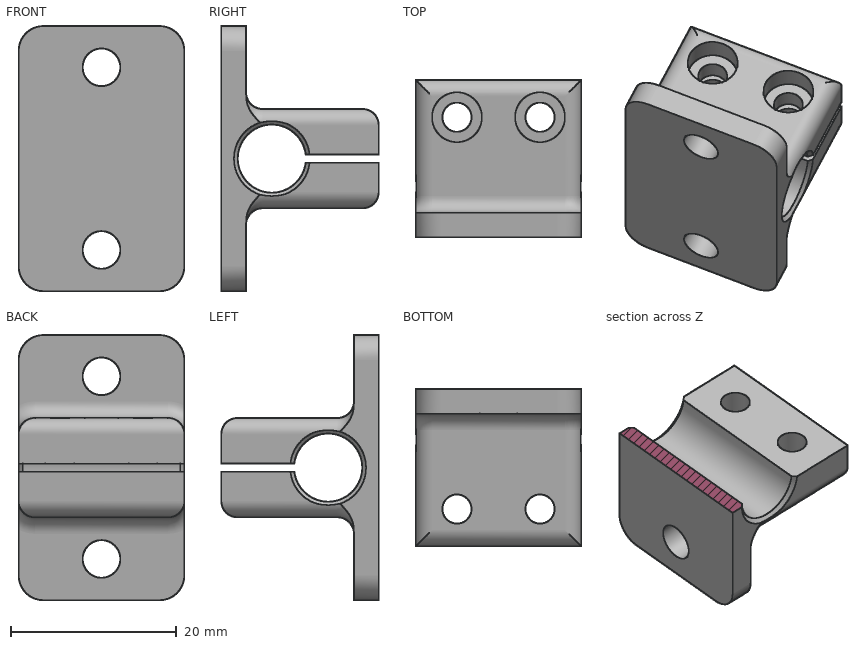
import cadquery as cq

width = 20.0
plate_height = 32.0
plate_thickness = 3.0
plate_corner_radius = 3.0
plate_hole_diameter = 4.5
plate_hole_spacing = 22.0

total_depth = 19.0
block_height = 12.0
edge_radius = 2.0
root_radius = 2.0

bore_diameter = 8.2
bore_center_y = 6.1
bore_chamfer = 0.48
slit_height = 0.95

screw_hole_diameter = 3.5
screw_head_diameter = 6.0
screw_head_depth = 3.0
screw_spacing = 10.0
screw_y = 14.5


def make_body():
    """Plate and block joined by a concave fillet that ends flush with the sides."""
    block = (
        cq.Workplane("XY")
        .box(width, total_depth, block_height, centered=(True, False, True))
        .faces("<Z or >Z")
        .edges("|Y or >Y")
        .fillet(edge_radius)
    )
    oversize_width = width + 4 * root_radius
    plate = cq.Workplane("XY").box(
        oversize_width, plate_thickness, plate_height, centered=(True, False, True)
    )
    margin = 0.03
    root_edges = cq.selectors.BoxSelector(
        (-width / 2 - margin, plate_thickness - margin, -block_height / 2 - margin),
        (width / 2 + margin, plate_thickness + margin, block_height / 2 + margin),
    )
    body = plate.union(block).edges(root_edges).fillet(root_radius)
    outline = (
        cq.Workplane("XY")
        .box(width, total_depth, plate_height, centered=(True, False, True))
        .edges("|Y")
        .fillet(plate_corner_radius)
    )
    return body.intersect(outline)


def make_plate_holes():
    """Two through holes for fixing the plate."""
    return (
        cq.Workplane("XZ")
        .pushPoints([(0, -plate_hole_spacing / 2), (0, plate_hole_spacing / 2)])
        .circle(plate_hole_diameter / 2)
        .extrude(-plate_thickness)
    )


def make_bore():
    """Rod bore with a chamfered mouth at each end."""
    bore_radius = bore_diameter / 2
    mouth_radius = bore_radius + bore_chamfer
    half_width = width / 2
    return (
        cq.Workplane("XY")
        .moveTo(-half_width, 0)
        .lineTo(-half_width, mouth_radius)
        .lineTo(-half_width + bore_chamfer, bore_radius)
        .lineTo(half_width - bore_chamfer, bore_radius)
        .lineTo(half_width, mouth_radius)
        .lineTo(half_width, 0)
        .close()
        .revolve(360, (0, 0, 0), (1, 0, 0))
        .translate((0, bore_center_y, 0))
    )


def make_slit():
    """Clamping slit from the bore to the back of the block."""
    return (
        cq.Workplane("XY")
        .box(width, total_depth - bore_center_y, slit_height, centered=(True, False, True))
        .translate((0, bore_center_y, 0))
    )


def make_screw_holes():
    """Two through holes, counterbored from the top of the block."""
    top = cq.Workplane("XY", origin=(0, screw_y, block_height / 2)).pushPoints(
        [(-screw_spacing / 2, 0), (screw_spacing / 2, 0)]
    )
    shanks = top.circle(screw_hole_diameter / 2).extrude(-block_height)
    heads = top.circle(screw_head_diameter / 2).extrude(-screw_head_depth)
    return shanks.union(heads)


result = (
    make_body()
    .cut(make_plate_holes())
    .cut(make_bore())
    .cut(make_slit())
    .cut(make_screw_holes())
)